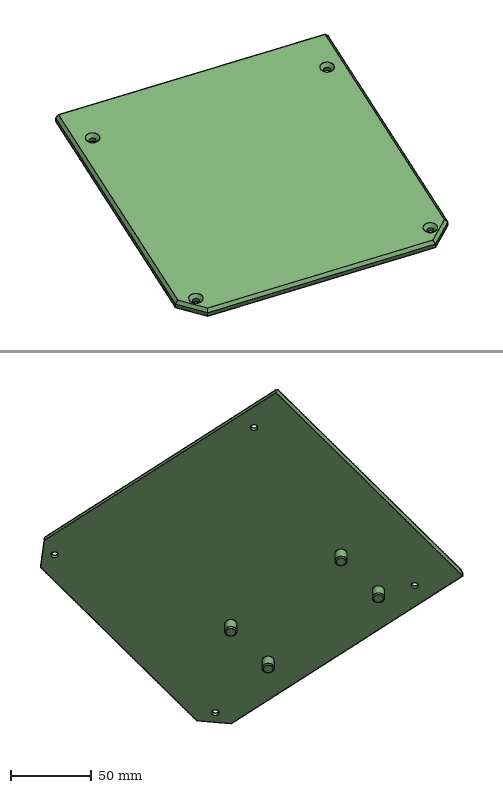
import cadquery as cq

length = 200.0
width = 185.0
thickness = 5.0
corner_cut = 15.2
edge_bevel = 2.0

hole_spacing = 159.2
hole_pattern_x = 107.5
hole_diameter = 4.5
countersink_diameter = 9.0
countersink_angle = 90.0

standoff_diameter = 7.5
standoff_height = 8.0
standoff_bevel = 0.8
standoff_spacing_x = 88.0
standoff_spacing_y = 37.0
standoff_pattern_x = 92.0
standoff_pattern_y = -50.0


def make_plate():
    """Rectangular plate with two cut corners, bevelled on every top edge but x = 0."""
    plate = cq.Workplane("XY").box(length, width, thickness, centered=(False, True, False))
    plate = plate.edges("|Z and >X").chamfer(corner_cut)
    bevelled_edges = plate.faces(">Z").edges("not <X")
    return bevelled_edges.chamfer(edge_bevel)


def add_screw_holes(plate):
    return (
        plate.faces(">Z")
        .workplane(origin=(hole_pattern_x, 0, thickness))
        .rarray(hole_spacing, hole_spacing, 2, 2)
        .cskHole(hole_diameter, countersink_diameter, countersink_angle)
    )


def make_standoffs():
    return (
        cq.Workplane("XY", origin=(standoff_pattern_x, standoff_pattern_y, -standoff_height))
        .rarray(standoff_spacing_x, standoff_spacing_y, 2, 2)
        .circle(standoff_diameter / 2)
        .extrude(standoff_height)
        .faces("<Z")
        .edges()
        .chamfer(standoff_bevel)
    )


result = add_screw_holes(make_plate()).union(make_standoffs())